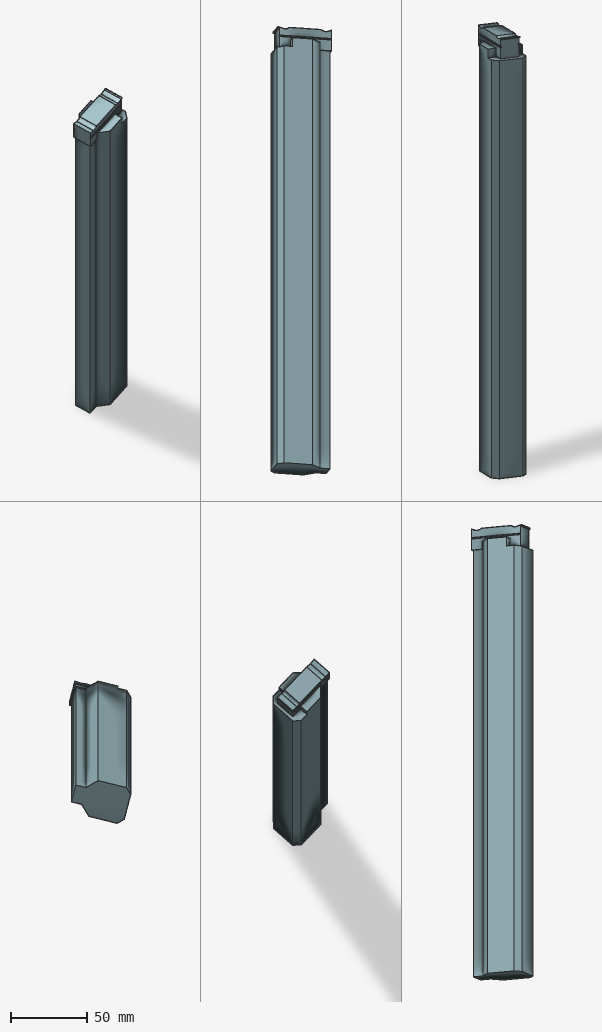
import cadquery as cq

total_length = 300.0
total_depth = 37.5

bar_width = 25.0
nose_width = 11.7
nose_front = 1.0
shoulder_start = 7.8
shoulder_end = 14.5
rear_chamfer = 4.0
bar_top = total_length - 8.7
rear_step = 28.0
rear_seat = total_length - 14.7

cap_width = 13.5
cap_rear = 35.5
leg_height = 14.0
leg_bottom = total_length - leg_height

lip_rear = 36.3
lip_thickness = 1.0
dip_depth = 1.2
front_lip_end = 3.5
pad_front = 7.2
pad_rear = 28.8
rear_lip_start = 31.5
dip_sag = 0.3

side_groove_bottom = total_length - 6.5
side_groove_height = 1.0
side_groove_depth = 0.5
side_groove_front = 0.5


def make_bar():
    """Chamfered bar with a narrow nose, lowered front and rear for the cap legs."""
    half_width = bar_width / 2
    half_nose = nose_width / 2
    bar = (
        cq.Workplane("XY")
        .moveTo(-half_nose, nose_front)
        .lineTo(half_nose, nose_front)
        .lineTo(half_nose, shoulder_start)
        .lineTo(half_width, shoulder_end)
        .lineTo(half_width, total_depth - rear_chamfer)
        .lineTo(half_width - rear_chamfer, total_depth)
        .lineTo(-half_width + rear_chamfer, total_depth)
        .lineTo(-half_width, total_depth - rear_chamfer)
        .lineTo(-half_width, shoulder_end)
        .lineTo(-half_nose, shoulder_start)
        .close()
        .extrude(bar_top)
    )
    for start, end, seat in ((0, shoulder_start, leg_bottom), (rear_step, total_depth, rear_seat)):
        step = cq.Workplane("XY").box(bar_width, end - start, bar_top - seat, centered=(True, False, False))
        bar = bar.cut(step.translate((0, start, seat)))
    return bar


def cut_side_grooves(cap):
    """Cut one shallow lengthwise groove into each side of the cap."""
    groove_length = cap_rear - side_groove_front
    for side in (-1, 1):
        groove = cq.Workplane("XY").box(
            2 * side_groove_depth, groove_length, side_groove_height, centered=(True, False, False)
        )
        cap = cap.cut(groove.translate((side * cap_width / 2, side_groove_front, side_groove_bottom)))
    return cap


def make_cap():
    """Two-legged cap with end lips and two curved dips across its top."""
    dip_floor = total_length - dip_depth
    cap = (
        cq.Workplane("YZ")
        .moveTo(0, leg_bottom)
        .lineTo(shoulder_start, leg_bottom)
        .lineTo(shoulder_start, bar_top)
        .lineTo(rear_step, bar_top)
        .lineTo(rear_step, leg_bottom)
        .lineTo(cap_rear, leg_bottom)
        .lineTo(cap_rear, total_length - lip_thickness)
        .lineTo(lip_rear, total_length - lip_thickness)
        .lineTo(lip_rear, total_length)
        .lineTo(rear_lip_start, dip_floor)
        .sagittaArc((pad_rear, total_length), dip_sag)
        .lineTo(pad_front, total_length)
        .sagittaArc((front_lip_end, dip_floor), dip_sag)
        .lineTo(0, total_length)
        .close()
        .extrude(cap_width / 2, both=True)
    )
    return cut_side_grooves(cap)


bar = make_bar()
cap = make_cap()
result = cq.Compound.makeCompound([bar.val(), cap.val()])